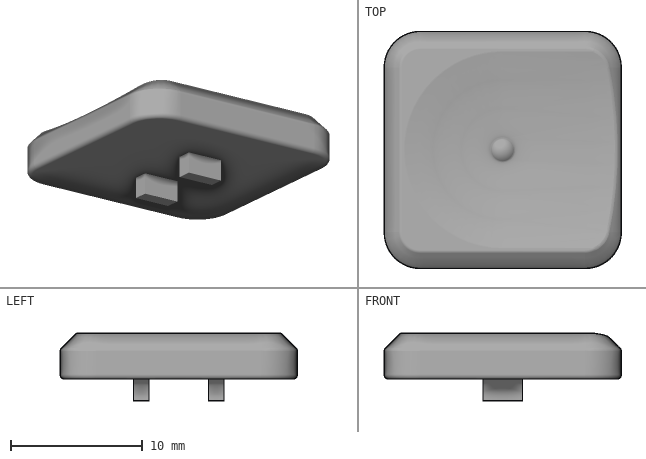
import cadquery as cq

cap_width = 18.0
cap_height = 3.5
corner_radius = 2.75
bevel = 1.25
edge_radius = 0.3
bottom_radius = 0.35

dish_radius = 7.45
dish_depth = 0.9
dish_curve_radius = (dish_radius**2 + dish_depth**2) / (2 * dish_depth)
dish_floor = cap_height - dish_depth

bump_radius = 0.88
bump_height = 0.52
bump_blend_radius = 0.15
bump_sphere_radius = (bump_radius**2 + bump_height**2) / (2 * bump_height)

leg_length_x = 3.0
leg_width_y = 1.2
leg_spacing = 5.7
leg_height = 1.64

tolerance = 0.01


def make_body():
    """Rounded square block with a beveled top rim."""
    block = cq.Workplane("XY").rect(cap_width, cap_width).extrude(cap_height)
    block = block.edges("|Z").fillet(corner_radius)
    return block.faces(">Z").chamfer(bevel)


def make_dish_cutter():
    """Spherical scoop that continues as a matching cylinder towards +X."""
    scoop = (
        cq.Workplane("XZ")
        .moveTo(0, cap_height)
        .lineTo(0, dish_floor)
        .radiusArc((dish_radius, cap_height), -dish_curve_radius)
        .close()
        .revolve(360, (0, 0), (0, 1))
    )
    trough = (
        cq.Workplane("YZ")
        .moveTo(-dish_radius, cap_height)
        .threePointArc((0, dish_floor), (dish_radius, cap_height))
        .close()
        .extrude(cap_width)
    )
    return scoop.union(trough)


def make_bump():
    """Sphere sunk into the cap so that only a dome stands above the dish floor."""
    center_z = dish_floor + bump_height - bump_sphere_radius
    return cq.Workplane("XY").sphere(bump_sphere_radius).translate((0, 0, center_z))


def round_rims(cap):
    """Round the lower bevel edge, the top rim and the dish edge, then the bottom rim."""
    bevel_start = cap_height - bevel

    def is_rim(edge):
        box = edge.BoundingBox()
        on_bevel_start = abs(box.zmax - bevel_start) < tolerance and box.zlen < tolerance
        on_dish_seam = box.xlen < tolerance and abs(box.center.x) < tolerance
        on_top_rim = box.zmin > dish_floor - tolerance and not on_dish_seam
        return on_bevel_start or on_top_rim

    cap = cap.edges().filter(is_rim).fillet(edge_radius)
    return cap.faces("<Z").edges().fillet(bottom_radius)


def add_bump(cap):
    """Put the bump on the dish floor and blend its foot into the dish."""

    def is_foot(edge):
        box = edge.BoundingBox()
        near_axis = max(box.xmax, -box.xmin, box.ymax, -box.ymin) < 2 * bump_radius
        near_floor = box.zmax < dish_floor + bump_blend_radius
        return near_axis and near_floor and box.zmin > cap_height / 2

    cap = cap.union(make_bump())
    return cap.edges().filter(is_foot).fillet(bump_blend_radius)


def make_legs():
    """Two plain rectangular legs, side by side along Y."""
    centers = [(0, -leg_spacing / 2), (0, leg_spacing / 2)]
    return cq.Workplane("XY").pushPoints(centers).rect(leg_length_x, leg_width_y).extrude(-leg_height)


cap = make_body().cut(make_dish_cutter())
cap = round_rims(cap)
cap = add_bump(cap)
result = cap.union(make_legs())